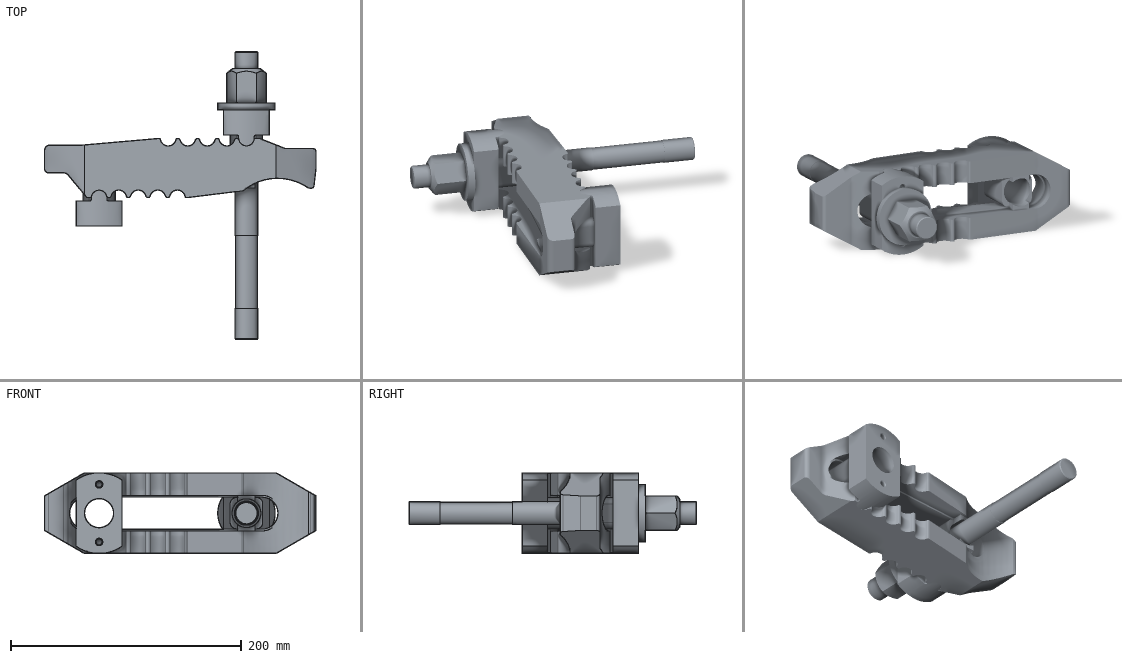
import cadquery as cq
import math


saddle_offset = 64.0
notch_pitch = 17.0
notch_count = 5
notch_radius = 6.8
notch_root = 19.2
notch_axis = notch_root + notch_radius
tooth_tip = 25.8
crest_fillet = 1.5

arm_height = 70.0
arm_left = -111.5
arm_right = 124.5
end_height = 30.0
taper_angle = 30.0
heel_top = 20.0
heel_bottom = -4.2
heel_top_fillet = 5.0
heel_bottom_fillet = 3.8
heel_throat_x = -92.5
heel_throat_fillet = 5.0
back_slope_left_x = -78.5
back_crest_left_x = -12.5
back_crest_right_x = 75.2
heel_tip_x = -74.5
front_crest_x = 13.0
nose_top = 17.0
nose_start_x = 97.8
nose_top_fillet = 3.0
nose_straight_end = 0.0
nose_tip_x = 122.5
nose_tip_y = -18.0
nose_tip_fillet = 2.8
nose_throat_fillet = 2.5
hollow_radius = 47.0
hollow_x = 91.0
hollow_top = -9.0
hollow_start_x = 61.0
hollow_end_x = 117.8

slot_left = -89.5
slot_right = 91.2
slot_width = 27.8
pocket_width = 31.0
pocket_floor = 9.2

saddle_diameter = arm_height
saddle_width = 40.0
saddle_thickness = 22.0
saddle_base = 28.5
saddle_outer = saddle_base + saddle_thickness
saddle_bore = 25.0
key_fillet = 1.2
boss_length_x = 28.2
boss_length_z = 27.2
boss_fillet = 5.5
lip_width = 15.2
lip_height = 8.2
dimple_offset = 25.0
dimple_diameter = 5.0
dimple_rim = 6.5
dimple_depth = 12.5
dimple_tip_angle = 118.0

stud_length = 250.0
stud_diameter = 20.0
shank_diameter = 19.2
stud_top = 101.0
shank_start = -58.8
shank_end = -122.0
thread_chamfer = 0.8
washer_diameter = 50.0
washer_bore = 21.0
washer_thickness = 6.0
nut_across_flats = 30.0
nut_height = 30.0
nut_top_diameter = 24.0
nut_bevel_drop = 4.2
nut_base_chamfer = 0.8


def cylinder_y(diameter, start, end, x=0.0, z=0.0):
    """Cylinder along Y between two Y levels."""
    return cq.Workplane("XZ", origin=(0, end, 0)).center(x, z).circle(diameter / 2).extrude(end - start)


def box(size_x, start, end, size_z):
    """Block centred on X and Z between two Y levels."""
    return cq.Workplane("XY").box(size_x, end - start, size_z).translate((0, (start + end) / 2, 0))


def half_turn(body):
    return body.rotate((0, 0, 0), (0, 0, 1), 180)


def slot_block(width, start, end):
    """Round-ended block along X that cuts the slot or one of its pockets."""
    axis_left = slot_left + slot_width / 2
    axis_right = slot_right - slot_width / 2
    middle = (axis_left + axis_right) / 2
    length = axis_right - axis_left + width
    return cq.Workplane("XZ", origin=(0, end, 0)).center(middle, 0).slot2D(length, width).extrude(end - start)


def hollow_y(x):
    return hollow_top - hollow_radius + math.sqrt(hollow_radius**2 - (x - hollow_x) ** 2)


def fillet_corners(body, radius, corners):
    """Round the Z-direction edges at the given (x, y) corners."""
    reach = 0.12
    for x, y in corners:
        picker = cq.selectors.BoxSelector(
            (x - reach, y - reach, -arm_height), (x + reach, y + reach, arm_height)
        )
        body = body.edges("|Z").edges(picker).fillet(radius)
    return body


def arm_profile():
    """Side shape of the arm, before the notches."""
    return (
        cq.Workplane("XY", origin=(0, 0, -arm_height / 2))
        .moveTo(arm_left, heel_top)
        .lineTo(back_slope_left_x, heel_top)
        .lineTo(back_crest_left_x, tooth_tip)
        .lineTo(back_crest_right_x, tooth_tip)
        .lineTo(nose_start_x, nose_top)
        .lineTo(arm_right, nose_top)
        .lineTo(arm_right, nose_straight_end)
        .lineTo(nose_tip_x, nose_tip_y)
        .lineTo(hollow_end_x, hollow_y(hollow_end_x))
        .threePointArc((hollow_x, hollow_top), (hollow_start_x, hollow_y(hollow_start_x)))
        .lineTo(front_crest_x, -tooth_tip)
        .lineTo(heel_tip_x, -tooth_tip)
        .lineTo(heel_throat_x, heel_bottom)
        .lineTo(arm_left, heel_bottom)
        .close()
        .extrude(arm_height)
    )


def tooth_tip_radius():
    """Radius of a tip that touches the tip height and both neighbouring notches tangentially."""
    half_pitch = notch_pitch / 2
    gap = notch_axis - tooth_tip
    return (half_pitch**2 + gap**2 - notch_radius**2) / (2 * (notch_radius - gap))


def back_notches():
    """Cutter for the row of round notches on the back, with round teeth between them."""
    tip_radius = tooth_tip_radius()
    share = notch_radius / (notch_radius + tip_radius)
    tangent_x = share * notch_pitch / 2
    tangent_y = notch_axis + share * (tooth_tip - tip_radius - notch_axis)
    row_end = saddle_offset + notch_radius
    x = saddle_offset - (notch_count - 1) * notch_pitch
    row_start = x - notch_radius
    row = (
        cq.Workplane("XY", origin=(0, 0, -arm_height / 2))
        .moveTo(row_start, saddle_base)
        .lineTo(row_start, notch_axis)
    )
    for _ in range(notch_count - 1):
        row = row.threePointArc((x, notch_root), (x + tangent_x, tangent_y))
        tip_x = x + notch_pitch / 2
        x += notch_pitch
        row = row.threePointArc((tip_x, tooth_tip), (x - tangent_x, tangent_y))
    row = row.threePointArc((saddle_offset, notch_root), (row_end, notch_axis))
    return row.lineTo(row_end, saddle_base).close().extrude(arm_height)


def row_mouths():
    """Corners where the two ends of the back notch row break through the flat crests."""
    half_mouth = math.sqrt(notch_radius**2 - (notch_axis - tooth_tip) ** 2)
    left_notch = saddle_offset - (notch_count - 1) * notch_pitch
    return [(left_notch - half_mouth, tooth_tip), (saddle_offset + half_mouth, tooth_tip)]


def arm_planform():
    """Outline from the front: full height in the middle, narrowing to both ends."""
    half = arm_height / 2
    half_end = end_height / 2
    run = (half - half_end) / math.tan(math.radians(taper_angle))
    upper = [
        (arm_left, half_end),
        (arm_left + run, half),
        (arm_right - run, half),
        (arm_right, half_end),
    ]
    lower = [(x, -z) for x, z in reversed(upper)]
    depth = 2 * saddle_base
    return cq.Workplane("XZ", origin=(0, depth / 2, 0)).polyline(upper + lower).close().extrude(depth)


def make_arm():
    body = arm_profile()
    body = fillet_corners(body, heel_top_fillet, [(arm_left, heel_top)])
    body = fillet_corners(body, heel_bottom_fillet, [(arm_left, heel_bottom)])
    body = fillet_corners(body, heel_throat_fillet, [(heel_throat_x, heel_bottom)])
    body = fillet_corners(body, nose_top_fillet, [(arm_right, nose_top)])
    body = fillet_corners(body, nose_tip_fillet, [(nose_tip_x, nose_tip_y)])
    throats = [(nose_start_x, nose_top), (hollow_start_x, hollow_y(hollow_start_x))]
    body = fillet_corners(body, nose_throat_fillet, throats)
    body = body.cut(back_notches()).cut(half_turn(back_notches()))
    mouths = row_mouths()
    body = fillet_corners(body, crest_fillet, mouths)
    body = fillet_corners(body, crest_fillet, [(-x, -y) for x, y in mouths])
    body = body.intersect(arm_planform())
    pocket = slot_block(pocket_width, pocket_floor, saddle_base)
    front_pocket = slot_block(pocket_width, -saddle_base, -pocket_floor)
    return body.cut(slot_block(slot_width, -saddle_base, saddle_base)).cut(pocket).cut(front_pocket)


def saddle_key():
    """Rib along Z that seats in a notch, flared by a fillet into the saddle face."""
    flare_y = saddle_base - key_fillet
    flare_x = notch_radius + key_fillet
    bend = key_fillet * (1 - math.sqrt(0.5))
    return (
        cq.Workplane("XY", origin=(0, 0, -saddle_diameter / 2))
        .moveTo(-flare_x, saddle_base)
        .threePointArc((-notch_radius - bend, saddle_base - bend), (-notch_radius, flare_y))
        .lineTo(-notch_radius, notch_axis)
        .threePointArc((0, notch_root), (notch_radius, notch_axis))
        .lineTo(notch_radius, flare_y)
        .threePointArc((notch_radius + bend, saddle_base - bend), (flare_x, saddle_base))
        .close()
        .extrude(saddle_diameter)
    )


def saddle_boss():
    """Guide block in the slot, ending in two lips that stand on the opposite ledge."""
    block = box(boss_length_x, -pocket_floor, saddle_base, boss_length_z).edges("|Y").fillet(boss_fillet)
    lips = box(lip_width, -pocket_floor - lip_height, -pocket_floor, pocket_width)
    return block.union(lips)


def dimple(z):
    """Blind drilled hole with a countersunk rim and a conical end, in the outer face."""
    radius = dimple_diameter / 2
    rim = dimple_rim / 2
    tip = dimple_depth + radius / math.tan(math.radians(dimple_tip_angle / 2))
    profile = [
        (0, 0),
        (rim, 0),
        (radius, rim - radius),
        (radius, dimple_depth),
        (0, tip),
    ]
    points = [(x, saddle_outer - depth) for x, depth in profile]
    return cq.Workplane("XY").polyline(points).close().revolve(360, (0, 0), (0, 1)).translate((0, 0, z))


def make_saddle():
    """Saddle on the back of the arm, with its axis on the Y axis."""
    body = box(saddle_width, saddle_base, saddle_outer, saddle_diameter).union(saddle_key())
    body = body.intersect(cylinder_y(saddle_diameter, notch_root, saddle_outer))
    body = body.union(saddle_boss())
    body = body.cut(cylinder_y(saddle_bore, -pocket_floor - lip_height, saddle_outer))
    for side in (-1, 1):
        body = body.cut(dimple(side * dimple_offset))
    return body


def make_saddles():
    """The back saddle and the front one half a turn from it."""
    saddle = make_saddle().translate((saddle_offset, 0, 0))
    return [saddle.rotate((0, 0, 0), (0, 0, 1), turn) for turn in (0, 180)]


def make_stud():
    upper = cylinder_y(stud_diameter, shank_start, stud_top, saddle_offset)
    lower = cylinder_y(stud_diameter, stud_top - stud_length, shank_end, saddle_offset)
    shank = cylinder_y(shank_diameter, shank_end, shank_start, saddle_offset)
    upper = upper.faces(">Y").chamfer(thread_chamfer)
    lower = lower.faces("<Y").chamfer(thread_chamfer)
    return upper.union(shank).union(lower)


def make_washer():
    end = saddle_outer + washer_thickness
    disc = cylinder_y(washer_diameter, saddle_outer, end, saddle_offset)
    return disc.cut(cylinder_y(washer_bore, saddle_outer, end, saddle_offset))


def make_nut():
    """Hexagon nut with corners toward +X and -X, bevelled at both ends."""
    base = saddle_outer + washer_thickness
    top = base + nut_height
    across_corners = nut_across_flats / math.cos(math.radians(30))
    corner = across_corners / 2
    hexagon = cq.Workplane("XZ", origin=(0, top, 0)).polygon(6, across_corners).extrude(nut_height)
    bevel_points = [
        (0, base),
        (corner - nut_base_chamfer, base),
        (corner, base + nut_base_chamfer),
        (corner, top - nut_bevel_drop),
        (nut_top_diameter / 2, top),
        (0, top),
    ]
    bevel = cq.Workplane("XY").polyline(bevel_points).close().revolve(360, (0, 0), (0, 1))
    nut = hexagon.intersect(bevel).cut(cylinder_y(stud_diameter, base, top))
    return nut.translate((saddle_offset, 0, 0))


arm = make_arm()
saddles = make_saddles()
stud = make_stud()
washer = make_washer()
nut = make_nut()

bodies = [arm, *saddles, stud, washer, nut]
result = cq.Compound.makeCompound([body.solids().val() for body in bodies])